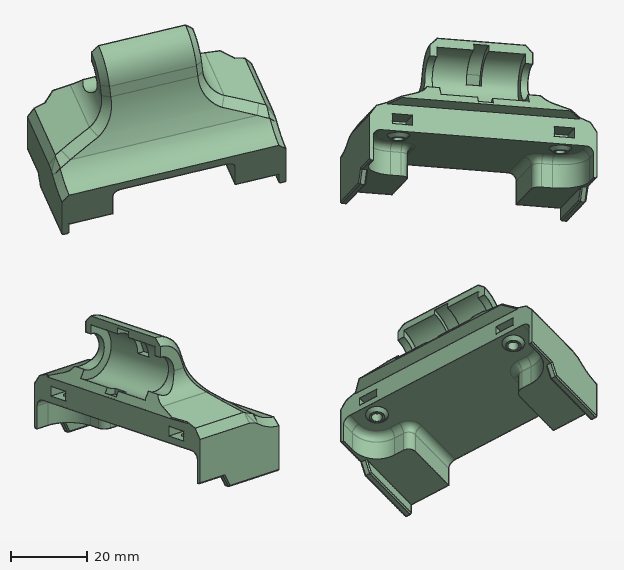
import cadquery as cq
import math

LENGTH_Y = 62.0
HALF_LENGTH = LENGTH_Y / 2
DEPTH = 29.15
TOTAL_HEIGHT = 39.0
BACK_HEIGHT = 14.5
EDGE_CHAMFER = 2.0

BORE_X = 2.1
BORE_Z = 29.0
BORE_RADIUS = 4.95
HOOK_RADIUS = TOTAL_HEIGHT - BORE_Z
POCKET_RADIUS = 7.5
END_WALL = 2.0
CRADLE_HALF_WIDTH = 14.0
CRADLE_FILLET = 7.0
SHOULDER_ANGLE = math.radians(20)

FLANK_ANGLE = math.radians(21.5)
FLANK_LENGTH = 3.05
BACK_ARC_JOINT = (20.4, 18.2)

CORNER_START_X = 18.15
CORNER_SIDE_END = (20.45, HALF_LENGTH, 15.45)
CORNER_BACK_END = (21.6, HALF_LENGTH - EDGE_CHAMFER, 17.1)

LIP_TIP = (-2.85, 20.4)
LIP_ROOT_Z = 19.2
LIP_ANGLE = math.radians(60)
LIP_TIP_HALF_WIDTH = 22.9
LIP_ROOT_HALF_WIDTH = 26.2

STRAP_WIDTH = 4.1
STRAP_RADIUS = 9.1
STRAP_UPPER_END_Z = 29.2
STRAP_LOWER_END_X = 1.2

CEILING_Z = 12.0
FOOT_Z = 3.5
FRONT_WALL = 1.0
LEG_THICKNESS = 2.0
LEG_INNER_Y = HALF_LENGTH - LEG_THICKNESS
LEG_START_X = 8.85
LEG_ANGLE = math.radians(60)
LEG_CHAMFER = 0.4
FOOT_INNER_Y = 16.9
FOOT_CORNER_RADIUS = 2.25
CEILING_FILLET = 2.1

SCREW_X = 3.95
SCREW_Y = 22.1
RECESS_RADIUS = HALF_LENGTH - FRONT_WALL - SCREW_Y
SCREW_DIAMETER = 3.0
BOSS_DIAMETER = 6.0
BOSS_HEIGHT = 1.0
NUT_WIDTH = 5.5
NUT_HEIGHT = 2.7
NUT_FLOOR_Z = 13.95

OVERSHOOT = 3.1
STOCK_HALF_LENGTH = HALF_LENGTH + 2 * OVERSHOOT
TOLERANCE = 0.005


def along_y(outline, half_width):
    """Extrude an XZ outline symmetrically about Y = 0."""
    return outline.extrude(half_width, both=True)


def box(x_range, y_range, z_range):
    """Axis-aligned box between the given limits."""
    sizes = [high - low for low, high in (x_range, y_range, z_range)]
    corner = (x_range[0], y_range[0], z_range[0])
    return cq.Workplane("XY").box(*sizes, centered=False).translate(corner)


def mirrored(half):
    """Complete a shape that was modelled on the +Y side."""
    return half.union(half.mirror("XZ"))


def on_circle(radius, angle):
    """XZ point on a circle about the bore axis."""
    return BORE_X + radius * math.cos(angle), BORE_Z + radius * math.sin(angle)


def flank_start():
    """XZ point where the hook arc runs into the straight flank."""
    return on_circle(HOOK_RADIUS, FLANK_ANGLE)


def side_body(half_length):
    """Hook, lip and block as one outline along Y, with the bore still solid."""
    flank_end = (
        flank_start()[0] + FLANK_LENGTH * math.sin(FLANK_ANGLE),
        flank_start()[1] - FLANK_LENGTH * math.cos(FLANK_ANGLE),
    )
    lip_top_x = LIP_TIP[0] + (BORE_Z - LIP_TIP[1]) / math.tan(LIP_ANGLE)
    outline = (
        cq.Workplane("XZ")
        .moveTo(0, FOOT_Z)
        .lineTo(0, LIP_ROOT_Z)
        .lineTo(*LIP_TIP)
        .lineTo(lip_top_x, BORE_Z)
        .lineTo(BORE_X, BORE_Z)
        .lineTo(BORE_X, TOTAL_HEIGHT)
        .threePointArc(on_circle(HOOK_RADIUS, (math.pi / 2 + FLANK_ANGLE) / 2), flank_start())
        .lineTo(*flank_end)
        .tangentArcPoint(BACK_ARC_JOINT, relative=False)
        .tangentArcPoint((DEPTH, BACK_HEIGHT), relative=False)
        .lineTo(DEPTH, 0)
        .lineTo(LEG_START_X + FOOT_Z / math.tan(LEG_ANGLE), 0)
        .lineTo(LEG_START_X, FOOT_Z)
        .close()
    )
    return along_y(outline, half_length)


def flare_point(angle):
    """YZ point on the fillet between cradle side and shoulder; the angle is from straight down."""
    centre_y = CRADLE_HALF_WIDTH + CRADLE_FILLET
    return centre_y - CRADLE_FILLET * math.sin(angle), BORE_Z - CRADLE_FILLET * math.cos(angle)


def shoulder_z(y):
    """Height of the sloping shoulder."""
    start_y, start_z = flare_point(SHOULDER_ANGLE)
    return start_z - (y - start_y) * math.tan(SHOULDER_ANGLE)


def is_back_edge(edge):
    """True for edges that run down the curved back, not across it."""
    bounds = edge.BoundingBox()
    runs_in_x = bounds.xlen > TOLERANCE
    return runs_in_x and bounds.zlen > TOLERANCE and bounds.xmin > BORE_X - TOLERANCE


def cradle_stock():
    """Overlong cradle with sloping shoulders, chamfered where they meet the back."""
    profile = (
        cq.Workplane("YZ")
        .lineTo(STOCK_HALF_LENGTH, 0)
        .lineTo(STOCK_HALF_LENGTH, shoulder_z(STOCK_HALF_LENGTH))
        .lineTo(*flare_point(SHOULDER_ANGLE))
        .threePointArc(flare_point((math.pi / 2 + SHOULDER_ANGLE) / 2), (CRADLE_HALF_WIDTH, BORE_Z))
        .lineTo(CRADLE_HALF_WIDTH, TOTAL_HEIGHT)
        .lineTo(0, TOTAL_HEIGHT)
        .close()
        .extrude(DEPTH, both=True)
    )
    stock = side_body(STOCK_HALF_LENGTH).intersect(mirrored(profile))

    def is_shoulder_edge(edge):
        on_end = abs(edge.Center().y) > STOCK_HALF_LENGTH - TOLERANCE
        return is_back_edge(edge) and edge.Center().z > BACK_HEIGHT and not on_end

    edges = [edge for edge in stock.edges().vals() if is_shoulder_edge(edge)]
    return stock.newObject(edges).chamfer(EDGE_CHAMFER)


def block_stock():
    """Block of the final length with chamfered outer edges on back and underside."""
    stock = side_body(HALF_LENGTH)
    end_edges = stock.faces("<Y or >Y").edges().vals()
    back = [e for e in end_edges if is_back_edge(e) and e.Center().z > BACK_HEIGHT]
    stock = stock.newObject(back).chamfer(EDGE_CHAMFER)
    end_edges = stock.faces("<Y or >Y").edges().vals()
    bottom = [e for e in end_edges if e.BoundingBox().zmax < FOOT_Z + TOLERANCE]
    return stock.newObject(bottom).chamfer(LEG_CHAMFER)


def shoulder_chamfer_ends():
    """YZ points where the shoulder chamfer meets the end face and the shoulder."""
    corner_z = shoulder_z(HALF_LENGTH)
    side_point = (HALF_LENGTH, corner_z - EDGE_CHAMFER)
    top_point = (
        HALF_LENGTH - EDGE_CHAMFER * math.cos(SHOULDER_ANGLE),
        corner_z + EDGE_CHAMFER * math.sin(SHOULDER_ANGLE),
    )
    return side_point, top_point


def shoulder_chamfers():
    """Wedges that break the corner between each shoulder and the end faces."""
    side_point, top_point = shoulder_chamfer_ends()
    rise = (top_point[1] - side_point[1]) / (side_point[0] - top_point[0])
    wedge = (
        cq.Workplane("YZ")
        .moveTo(HALF_LENGTH + OVERSHOOT, side_point[1] - OVERSHOOT * rise)
        .lineTo(top_point[0] - OVERSHOOT, top_point[1] + OVERSHOOT * rise)
        .lineTo(HALF_LENGTH + OVERSHOOT, top_point[1] + OVERSHOOT * rise)
        .close()
        .extrude(DEPTH, both=True)
    )
    return mirrored(wedge)


def space_outside(first, second, third):
    """Thick slab on the outer side of the plane through three points."""
    start = cq.Vector(*first)
    along = cq.Vector(*second) - start
    outward = (cq.Vector(*third) - start).cross(along)
    plane = cq.Plane(origin=start, xDir=along, normal=outward)
    return cq.Workplane(plane).rect(LENGTH_Y, LENGTH_Y).extrude(OVERSHOOT)


def corner_facets():
    """Two flat facets at each end that join the three chamfers."""
    side_point, top_point = shoulder_chamfer_ends()
    shoulder_start = (CORNER_START_X, *top_point)
    side_start = (CORNER_START_X, *side_point)
    side_facet = space_outside(shoulder_start, side_start, CORNER_SIDE_END)
    back_facet = space_outside(shoulder_start, CORNER_SIDE_END, CORNER_BACK_END)
    end_zone = box(
        (CORNER_START_X - OVERSHOOT, CORNER_BACK_END[0]), (0, LENGTH_Y), (0, TOTAL_HEIGHT)
    )
    return mirrored(side_facet.union(back_facet).intersect(end_zone))


def lip_corners():
    """Upright wedges that trim the ends of the lip."""
    wedge = (
        cq.Workplane("XY")
        .moveTo(0, LIP_ROOT_HALF_WIDTH)
        .lineTo(LIP_TIP[0], LIP_TIP_HALF_WIDTH)
        .lineTo(LIP_TIP[0], HALF_LENGTH)
        .lineTo(0, HALF_LENGTH)
        .close()
        .extrude(TOTAL_HEIGHT)
    )
    return mirrored(wedge)


def bore():
    """Bore through the cradle and the wider pocket between its end walls."""
    centre = cq.Workplane("XZ").center(BORE_X, BORE_Z)
    through = along_y(centre.circle(BORE_RADIUS), HALF_LENGTH)
    pocket = along_y(centre.circle(POCKET_RADIUS), CRADLE_HALF_WIDTH - END_WALL)
    return through.union(pocket)


def strap_groove():
    """Two grooves for a strap: one under the hook, one through the lip."""
    half_width = STRAP_WIDTH / 2
    tangent_point = on_circle(STRAP_RADIUS, FLANK_ANGLE)
    flank_run = (tangent_point[1] - STRAP_UPPER_END_Z) * math.tan(FLANK_ANGLE)
    upper = (
        cq.Workplane("XZ")
        .moveTo(BORE_X, STRAP_UPPER_END_Z)
        .lineTo(BORE_X, BORE_Z + STRAP_RADIUS)
        .threePointArc(on_circle(STRAP_RADIUS, (math.pi / 2 + FLANK_ANGLE) / 2), tangent_point)
        .lineTo(tangent_point[0] + flank_run, STRAP_UPPER_END_Z)
        .close()
    )
    ring = along_y(cq.Workplane("XZ").center(BORE_X, BORE_Z).circle(STRAP_RADIUS), half_width)
    lip_window = box(
        (LIP_TIP[0], STRAP_LOWER_END_X), (-half_width, half_width), (LIP_ROOT_Z, BORE_Z)
    )
    return along_y(upper, half_width).union(ring.intersect(lip_window))


def underside():
    """Open space below the ceiling, shaped around the two feet."""
    wall_y = HALF_LENGTH - FRONT_WALL
    foot_front_x = SCREW_X + RECESS_RADIUS
    corner_y = FOOT_INNER_Y + FOOT_CORNER_RADIUS
    diagonal = math.sqrt(0.5)
    half = (
        cq.Workplane("XY")
        .moveTo(-OVERSHOOT, 0)
        .lineTo(-OVERSHOOT, wall_y)
        .lineTo(SCREW_X, wall_y)
        .threePointArc(
            (SCREW_X + RECESS_RADIUS * diagonal, SCREW_Y + RECESS_RADIUS * diagonal),
            (foot_front_x, SCREW_Y),
        )
        .lineTo(foot_front_x, corner_y)
        .threePointArc(
            (
                foot_front_x + FOOT_CORNER_RADIUS * (1 - diagonal),
                corner_y - FOOT_CORNER_RADIUS * diagonal,
            ),
            (foot_front_x + FOOT_CORNER_RADIUS, FOOT_INNER_Y),
        )
        .lineTo(DEPTH + OVERSHOOT, FOOT_INNER_Y)
        .lineTo(DEPTH + OVERSHOOT, 0)
        .close()
        .extrude(CEILING_Z)
    )
    return mirrored(half).faces(">Z").edges().fillet(CEILING_FILLET)


def leg_gap():
    """Space under the feet, between the two legs."""
    return box((0, DEPTH), (-LEG_INNER_Y, LEG_INNER_Y), (0, FOOT_Z))


def chamfer_inner_legs(body):
    """Break the lower inner edges of the legs."""

    def is_inner_leg_edge(edge):
        bounds = edge.BoundingBox()
        on_inner_face = abs(abs(edge.Center().y) - LEG_INNER_Y) < TOLERANCE
        below_foot = edge.Center().z < FOOT_Z - TOLERANCE
        return on_inner_face and below_foot and bounds.xlen > TOLERANCE

    edges = [edge for edge in body.edges().vals() if is_inner_leg_edge(edge)]
    return body.newObject(edges).chamfer(LEG_CHAMFER)


def screw_bosses():
    """Conical bosses that hang from the ceiling."""
    boss = (
        cq.Workplane("XY", origin=(SCREW_X, SCREW_Y, CEILING_Z))
        .circle(BOSS_DIAMETER / 2)
        .workplane(offset=-BOSS_HEIGHT)
        .circle(BOSS_DIAMETER / 2 - BOSS_HEIGHT)
        .loft()
    )
    return mirrored(boss)


def screw_holes():
    """Screw hole through each boss, opening into a nut slot from the front wall."""
    hole_bottom = CEILING_Z - BOSS_HEIGHT
    hole = (
        cq.Workplane("XY", origin=(SCREW_X, SCREW_Y, hole_bottom))
        .circle(SCREW_DIAMETER / 2)
        .extrude(NUT_FLOOR_Z - hole_bottom)
    )
    half_nut = NUT_WIDTH / 2
    slot = box(
        (0, SCREW_X + half_nut),
        (SCREW_Y - half_nut, SCREW_Y + half_nut),
        (NUT_FLOOR_Z, NUT_FLOOR_Z + NUT_HEIGHT),
    )
    return mirrored(hole.union(slot))


body = cradle_stock().intersect(block_stock())
body = body.cut(shoulder_chamfers()).cut(corner_facets()).cut(lip_corners())
body = body.cut(bore()).cut(strap_groove())
body = chamfer_inner_legs(body.cut(underside()).cut(leg_gap()))
result = body.union(screw_bosses()).cut(screw_holes())